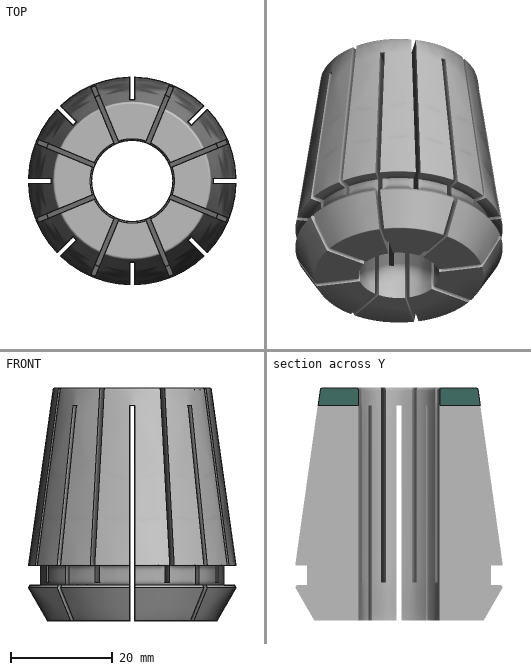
import cadquery as cq
import math


total_height = 46.0
rim_z = 6.6
flange_top_z = 7.1
groove_top_z = 10.95

max_radius = 20.495
groove_radius = 18.12
bore_radius = 16.0 / 2

body_half_angle = math.radians(8)
flange_half_angle = math.radians(30)
rim_break = 0.3
bore_chamfer = 0.3
top_edge_fillet = 0.45
bottom_edge_fillet = 0.2
groove_fillet = 0.1

slits_per_end = 8
slit_width = 0.95
lower_slit_top_z = 42.5
upper_slit_bottom_z = 7.6

slit_pitch = 360 / slits_per_end
top_radius = max_radius - (total_height - groove_top_z) * math.tan(body_half_angle)
bottom_radius = max_radius - rim_z * math.tan(flange_half_angle)

bottom_corner = (bottom_radius, 0)
groove_root = (groove_radius, flange_top_z)
body_large_end = (max_radius, groove_top_z)
body_small_end = (top_radius, total_height)


def round_corner(profile, corner, fillet_radius):
    nearest = cq.selectors.NearestToPointSelector((corner[0], corner[1], 0))
    return profile.reset().vertices(nearest).fillet(fillet_radius)


def make_body():
    """Solid of revolution with the bore, before slitting."""
    points = [
        (bore_radius, 0),
        bottom_corner,
        (max_radius, rim_z),
        (max_radius - rim_break, flange_top_z),
        groove_root,
        (groove_radius, groove_top_z),
        body_large_end,
        body_small_end,
        (bore_radius + bore_chamfer, total_height),
        (bore_radius, total_height - bore_chamfer),
        (bore_radius, 0),
    ]
    profile = cq.Sketch().polygon(points)
    for corner in (groove_root, body_large_end):
        profile = round_corner(profile, corner, groove_fillet)
    profile = round_corner(profile, bottom_corner, bottom_edge_fillet)
    profile = round_corner(profile, body_small_end, top_edge_fillet)
    return cq.Workplane("XZ").placeSketch(profile.reset()).revolve(360, (0, 0), (0, 1))


def make_slits(bottom_z, top_z, start_angle):
    """Radial cutters from the axis outwards, evenly spaced around Z."""
    cutter_length = max_radius + slit_width
    cutter = (
        cq.Workplane("XY", origin=(0, 0, bottom_z))
        .box(cutter_length, slit_width, top_z - bottom_z, centered=(False, True, False))
    )
    slits = cq.Workplane("XY")
    for index in range(slits_per_end):
        angle = start_angle + index * slit_pitch
        slits = slits.add(cutter.rotate((0, 0, 0), (0, 0, 1), angle))
    return slits.combine()


lower_slits = make_slits(0, lower_slit_top_z, 0)
upper_slits = make_slits(upper_slit_bottom_z, total_height, slit_pitch / 2)

result = make_body().cut(lower_slits).cut(upper_slits)